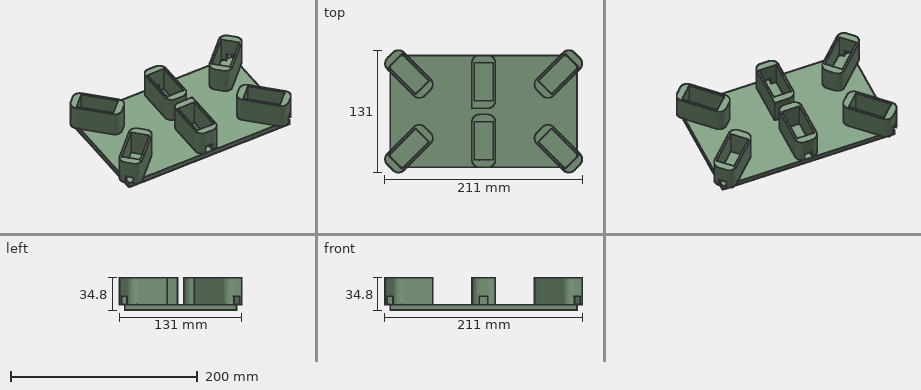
import cadquery as cq

plate_length = 200.0
plate_width = 120.0
plate_thickness = 6.0

pocket_width = 20.2
pocket_length = 40.7
side_wall = 2.4
end_wall = 8.0
holder_height = 28.82
corner_radius = 8.0
holder_width = pocket_width + 2 * side_wall
holder_length = pocket_length + 2 * end_wall

notch_width = 8.82
notch_height = 8.82

corner_holder_x = 79.94
corner_holder_y = 39.92
middle_holder_y = 31.65
corner_holder_tilt = 45.0


def upright_box(width, length, height):
    """Box centred on the Z axis and standing on Z = 0."""
    return cq.Workplane("XY").box(width, length, height, centered=(True, True, False))


def make_holder(square_corner=False):
    """Holder standing on Z = 0 with its notch facing -Y.

    square_corner leaves the (+X, +Y) vertical edge sharp.
    """
    rounded_edges = "|Z and (not >(1, 1, 0))" if square_corner else "|Z"
    body = (
        upright_box(holder_width, holder_length, holder_height)
        .edges(rounded_edges)
        .fillet(corner_radius)
    )
    pocket = upright_box(pocket_width, pocket_length, holder_height)
    notch_length = holder_length / 2
    notch = upright_box(notch_width, notch_length, notch_height).translate((0, -notch_length / 2, 0))
    return body.cut(pocket).cut(notch)


def place_on_plate(holder, x, y, angle):
    """Turn a holder about Z, then set it on top of the plate."""
    return holder.rotate((0, 0, 0), (0, 0, 1), angle).translate((x, y, plate_thickness))


result = upright_box(plate_length, plate_width, plate_thickness)

for side_x in (-1, 1):
    for side_y in (-1, 1):
        angle = side_x * corner_holder_tilt
        if side_y > 0:
            angle = 180 - angle
        holder = place_on_plate(
            make_holder(), side_x * corner_holder_x, side_y * corner_holder_y, angle
        )
        result = result.union(holder)

result = result.union(place_on_plate(make_holder(), 0, -middle_holder_y, 0))
result = result.union(place_on_plate(make_holder(square_corner=True), 0, middle_holder_y, 180))